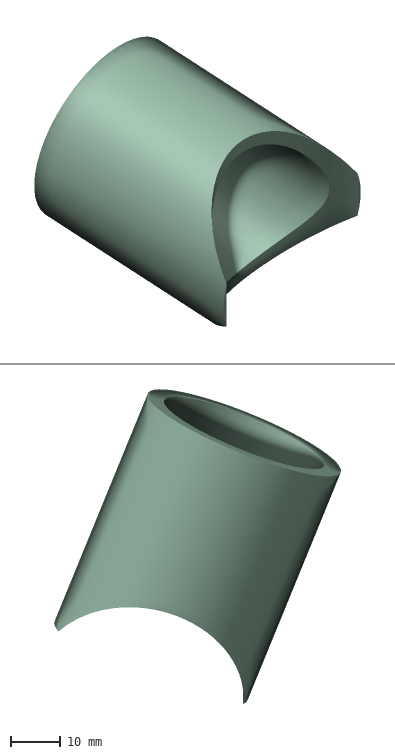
import cadquery as cq

outer_diameter = 42.16
inner_diameter = 35.05
stub_length = 50.8
mating_axis_x = 57.15


def make_pipe():
    """Straight pipe with its square end on the YZ plane."""
    return (
        cq.Workplane("YZ")
        .circle(outer_diameter / 2)
        .circle(inner_diameter / 2)
        .extrude(stub_length)
    )


def make_mating_pipe():
    """Solid envelope of the mating pipe, along Z and taller than the stub."""
    height = 2 * outer_diameter
    return (
        cq.Workplane("XY")
        .center(mating_axis_x, 0)
        .circle(outer_diameter / 2)
        .extrude(height / 2, both=True)
    )


result = make_pipe().cut(make_mating_pipe())